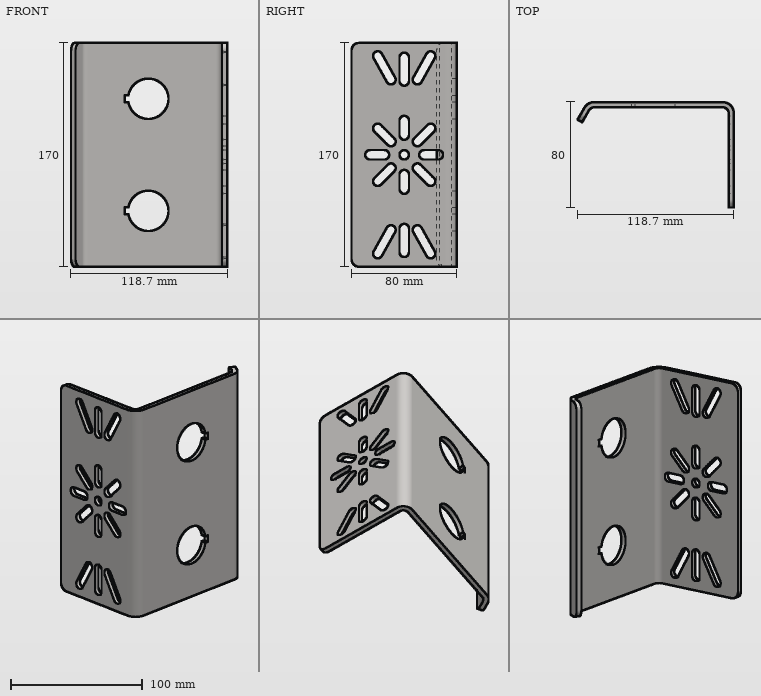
import cadquery as cq
import math


height = 170.0
width = 118.7
depth = 80.0
thickness = 4.0
bend_outer = 8.5
bend_inner = bend_outer - thickness
corner_radius = 6.0

lip_bend = math.radians(60)
lip_length = 10.5

keyed_hole_diameter = 30.5
keyed_hole_x = -60.0
keyed_hole_spacing = 85.0
key_width = 5.1
key_reach = 17.8

slot_width = 7.0
slot_inner_offset = 10.0
slot_outer_offset = 20.0
star_slot_near = 15.0
star_slot_far = 26.0
end_slot_near = 56.0
end_slot_far = 74.0
slanted_end_slot_near = 57.0
slanted_end_slot_far = 75.0

lip_dx, lip_dy = -math.cos(lip_bend), -math.sin(lip_bend)
left_bend_x = -width + bend_outer * math.sin(lip_bend) + lip_length * math.cos(lip_bend)
right_bend_x = -bend_outer


def lip_point(radius, turn, along=0.0):
    """Point on the lip bend at a radius and turn angle, moved along the lip."""
    x = left_bend_x - radius * math.sin(turn) + along * lip_dx
    y = -bend_outer + radius * math.cos(turn) + along * lip_dy
    return x, y


def corner_bend_point(radius):
    """Point halfway round the square bend at a radius."""
    reach = radius * math.sqrt(0.5)
    return right_bend_x + reach, -bend_outer + reach


def bent_sheet():
    profile = (
        cq.Workplane("XY", origin=(0, 0, -height / 2))
        .moveTo(*lip_point(bend_outer, lip_bend, lip_length))
        .lineTo(*lip_point(bend_outer, lip_bend))
        .threePointArc(lip_point(bend_outer, lip_bend / 2), (left_bend_x, 0))
        .lineTo(right_bend_x, 0)
        .threePointArc(corner_bend_point(bend_outer), (0, -bend_outer))
        .lineTo(0, -depth)
        .lineTo(-thickness, -depth)
        .lineTo(-thickness, -bend_outer)
        .threePointArc(corner_bend_point(bend_inner), (right_bend_x, -thickness))
        .lineTo(left_bend_x, -thickness)
        .threePointArc(lip_point(bend_inner, lip_bend / 2), lip_point(bend_inner, lip_bend))
        .lineTo(*lip_point(bend_inner, lip_bend, lip_length))
        .close()
    )
    return profile.extrude(height)


def round_free_corners(sheet):
    """Round the top and bottom corners of the lip and the side wall."""
    sheet = sheet.faces("<Y").edges("|X").fillet(corner_radius)
    lip_end = cq.selectors.DirectionMinMaxSelector(cq.Vector(lip_dx, lip_dy, 0), True)
    return sheet.faces(lip_end).edges("#Z").fillet(corner_radius)


def keyed_hole(z):
    plane = cq.Workplane("XZ", origin=(keyed_hole_x, 0, z))
    bore = plane.circle(keyed_hole_diameter / 2).extrude(thickness)
    key = plane.center(-key_reach / 2, 0).rect(key_reach, key_width).extrude(thickness)
    return bore.union(key)


def slot(start, end):
    """Round-ended slot through the side wall between two end centres (Y, Z)."""
    dy, dz = end[0] - start[0], end[1] - start[1]
    middle = ((start[0] + end[0]) / 2, (start[1] + end[1]) / 2)
    return (
        cq.Workplane("YZ", origin=(-thickness, -depth / 2, 0))
        .center(*middle)
        .slot2D(math.hypot(dy, dz) + slot_width, slot_width, math.degrees(math.atan2(dz, dy)))
        .extrude(thickness)
    )


def side_wall_openings():
    openings = [
        cq.Workplane("YZ", origin=(-thickness, -depth / 2, 0)).circle(slot_width / 2).extrude(thickness)
    ]
    for side in (-1, 1):
        openings.append(slot((side * star_slot_near, 0), (side * star_slot_far, 0)))
        openings.append(slot((0, side * star_slot_near), (0, side * star_slot_far)))
        openings.append(slot((0, side * end_slot_near), (0, side * end_slot_far)))
        for end in (-1, 1):
            inner_y, outer_y = side * slot_inner_offset, side * slot_outer_offset
            openings.append(slot((inner_y, end * slot_inner_offset), (outer_y, end * slot_outer_offset)))
            openings.append(
                slot((inner_y, end * slanted_end_slot_near), (outer_y, end * slanted_end_slot_far))
            )
    return openings


result = round_free_corners(bent_sheet())
for hole_z in (-keyed_hole_spacing / 2, keyed_hole_spacing / 2):
    result = result.cut(keyed_hole(hole_z))
for opening in side_wall_openings():
    result = result.cut(opening)